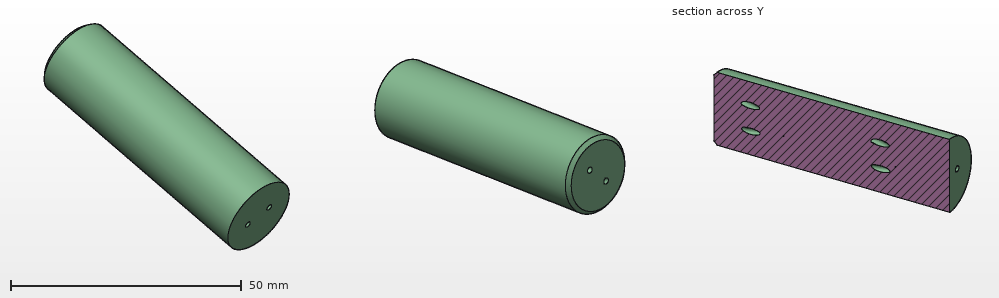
import cadquery as cq

rod_length = 60.0
rod_diameter = 18.0
chamfer = 0.9

channel_diameter = 1.4
channel_y = 2.45
channel_z = 2.0
channel_pitch = 66.0


def make_rod():
    return (
        cq.Workplane("YZ")
        .circle(rod_diameter / 2)
        .extrude(rod_length)
        .faces("<X")
        .chamfer(chamfer)
    )


def make_channels():
    twist_angle = 360.0 * rod_length / channel_pitch
    return (
        cq.Workplane("YZ")
        .pushPoints([(channel_y, channel_z), (-channel_y, -channel_z)])
        .circle(channel_diameter / 2)
        .twistExtrude(rod_length, twist_angle)
    )


result = make_rod().cut(make_channels())